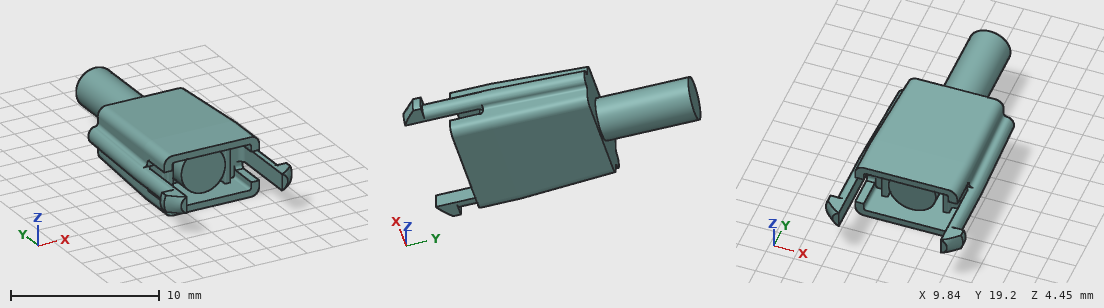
import cadquery as cq
import math

total_length = 19.18
housing_length = 9.55
straight_length = 2.84
cavity_depth = 2.32
well_depth = 3.45
latch_reach = 3.13
taper_angle = 2.0

housing_half_width = 3.66
housing_height = 4.45
housing_corner_radius = 0.65
taper_inset = (housing_length - straight_length) * math.tan(math.radians(taper_angle))
cavity_width = 6.08
cavity_height = 3.41
cavity_corner_radius = 0.2
slot_half_height = 1.13

arm_half_height = 0.61
arm_thickness = 0.75
arm_crown_radius = 0.7
arm_edge_radius = 0.35
blend_radius = 0.27
root_radius = 0.4
embed = 0.2

head_half_span = 4.92
head_back = 1.7
cone_start = 2.25
head_tip_radius = 0.61
head_axis_x = 3.5
head_radius = head_half_span - head_axis_x

cable_radius = 1.486
plug_radius = 1.69
plug_front = 1.17
plug_foot_radius = 0.12
rib_inner_x = 1.98
rib_outer_x = 2.44
rib_front = 1.7
rib_edge_radius = 0.12
rib_foot_radius = 0.12


def section_plane(y):
    """Workplane across the part at y; its normal points towards -Y."""
    return cq.Workplane("XZ", origin=(0, y, 0))


def both_sides(solid):
    """The solid together with its mirror image across the YZ plane."""
    return solid.union(solid.mirror("YZ"))


def housing_section(inset):
    width = 2 * (housing_half_width - inset)
    height = housing_height - 2 * inset
    return cq.Sketch().rect(width, height).vertices().fillet(housing_corner_radius)


def lofted(front_section, rear_section):
    """Straight-sided solid between the end of the straight stretch and the rear face."""
    front = front_section.moved(cq.Location(cq.Vector(0, 0, -straight_length)))
    rear = rear_section.moved(cq.Location(cq.Vector(0, 0, -housing_length)))
    return cq.Workplane("XZ").placeSketch(front, rear).loft(ruled=True)


def arm_section(side_x):
    """Arm with a crowned, edge-rounded outer side, standing on the plane x = side_x."""
    top_x = side_x + arm_thickness
    crown_centre_x = top_x - arm_crown_radius
    corner_x = crown_centre_x + math.sqrt(arm_crown_radius**2 - arm_half_height**2)
    return (
        cq.Sketch()
        .segment((side_x, -arm_half_height), (corner_x, -arm_half_height))
        .arc((corner_x, -arm_half_height), (top_x, 0), (corner_x, arm_half_height))
        .segment((side_x, arm_half_height))
        .close()
        .assemble()
        .vertices(">X")
        .fillet(arm_edge_radius)
    )


def blend_section(side_x):
    """Root of the arm: a band on the housing side that narrows to the arm along two concave arcs."""
    root_half_height = arm_half_height + blend_radius
    inner_x = side_x - embed
    outer_x = side_x + blend_radius
    middle_x = outer_x - blend_radius * math.sqrt(0.5)
    middle_z = root_half_height - blend_radius * math.sqrt(0.5)
    return (
        cq.Sketch()
        .segment((inner_x, -root_half_height), (side_x, -root_half_height))
        .arc((side_x, -root_half_height), (middle_x, -middle_z), (outer_x, -arm_half_height))
        .segment((outer_x, arm_half_height))
        .arc((outer_x, arm_half_height), (middle_x, middle_z), (side_x, root_half_height))
        .segment((inner_x, root_half_height))
        .close()
        .assemble()
    )


def along_housing(front_section, rear_section):
    """Solid over the whole housing length: constant section in front, tapered behind."""
    straight = section_plane(straight_length).placeSketch(front_section).extrude(straight_length)
    return straight.union(lofted(front_section, rear_section))


def side_rail(section):
    """Rail on the housing side whose section, given for a side plane, follows the taper."""
    return along_housing(section(housing_half_width), section(housing_half_width - taper_inset))


def cavity():
    """Rounded opening with a deeper well between the ribs."""
    section = cq.Sketch().rect(cavity_width, cavity_height).vertices().fillet(cavity_corner_radius)
    opening = section_plane(cavity_depth).placeSketch(section).extrude(cavity_depth)
    well = section_plane(well_depth).rect(2 * rib_inner_x, cavity_height).extrude(well_depth)
    return opening.union(well)


def side_slot():
    """Opening through both side walls; its inner end narrows along two concave arcs."""
    end_half_height = arm_half_height + blend_radius
    rise = slot_half_height - end_half_height
    arc_centre_y = cavity_depth - blend_radius
    arc_start_y = arc_centre_y + math.sqrt(blend_radius**2 - rise**2)
    middle_angle = math.asin(rise / blend_radius) / 2
    middle_y = arc_centre_y + blend_radius * math.cos(middle_angle)
    middle_z = end_half_height + blend_radius * math.sin(middle_angle)
    half_width = housing_half_width + arm_thickness
    return (
        cq.Workplane("YZ", origin=(-half_width, 0, 0))
        .moveTo(0, -slot_half_height)
        .lineTo(arc_start_y, -slot_half_height)
        .threePointArc((middle_y, -middle_z), (cavity_depth, -end_half_height))
        .lineTo(cavity_depth, end_half_height)
        .threePointArc((middle_y, middle_z), (arc_start_y, slot_half_height))
        .lineTo(0, slot_half_height)
        .close()
        .extrude(2 * half_width)
    )


def free_arm():
    """Arm from the latch head to the straight stretch of the housing."""
    length = straight_length + head_back
    return section_plane(straight_length).placeSketch(arm_section(housing_half_width)).extrude(length)


def arm_root_fillet():
    """Concave fillet between the inside of the arm and the cavity floor."""
    start_y = cavity_depth - root_radius
    return (
        cq.Workplane("XY", origin=(0, 0, -arm_half_height))
        .moveTo(housing_half_width - root_radius, cavity_depth + embed)
        .lineTo(housing_half_width - root_radius, cavity_depth)
        .radiusArc((housing_half_width, start_y), root_radius)
        .lineTo(housing_half_width + embed, start_y)
        .lineTo(housing_half_width + embed, cavity_depth + embed)
        .close()
        .extrude(2 * arm_half_height)
    )


def latch_head():
    """Turned cylinder and cone, cut flat at the arm height and at the inner side of the arm."""
    turned = (
        cq.Workplane("XY")
        .moveTo(head_axis_x, -head_back)
        .lineTo(head_axis_x + head_radius, -head_back)
        .lineTo(head_axis_x + head_radius, -cone_start)
        .lineTo(head_axis_x + head_tip_radius, -latch_reach)
        .lineTo(head_axis_x, -latch_reach)
        .close()
        .revolve(360, (head_axis_x, 0, 0), (head_axis_x, 1, 0))
    )
    envelope = cq.Workplane("XY").box(
        head_half_span - housing_half_width, latch_reach, 2 * arm_half_height, centered=(False, False, True)
    )
    return turned.intersect(envelope.translate((housing_half_width, -latch_reach, 0)))


def cable():
    cable_end = total_length - latch_reach
    return section_plane(cable_end).circle(cable_radius).extrude(cable_end - housing_length + embed)


def plug():
    """Round plug on the well floor with a concave foot, trimmed to the cavity height."""
    turned = (
        cq.Workplane("XY")
        .moveTo(0, plug_front)
        .lineTo(plug_radius, plug_front)
        .lineTo(plug_radius, well_depth - plug_foot_radius)
        .radiusArc((plug_radius + plug_foot_radius, well_depth), plug_foot_radius)
        .lineTo(plug_radius + plug_foot_radius, well_depth + embed)
        .lineTo(0, well_depth + embed)
        .close()
        .revolve(360, (0, 0, 0), (0, 1, 0))
    )
    envelope = cq.Workplane("XY").box(cavity_width, total_length, cavity_height)
    return turned.intersect(envelope)


def rib():
    """Upright rib with rounded front edges and concave feet on the well and cavity floors."""
    back_y = well_depth + embed
    return (
        cq.Workplane("XY", origin=(0, 0, -cavity_height / 2 - embed))
        .moveTo(rib_inner_x - rib_foot_radius, back_y)
        .lineTo(rib_inner_x - rib_foot_radius, well_depth)
        .radiusArc((rib_inner_x, well_depth - rib_foot_radius), rib_foot_radius)
        .lineTo(rib_inner_x, rib_front + rib_edge_radius)
        .radiusArc((rib_inner_x + rib_edge_radius, rib_front), -rib_edge_radius)
        .lineTo(rib_outer_x - rib_edge_radius, rib_front)
        .radiusArc((rib_outer_x, rib_front + rib_edge_radius), -rib_edge_radius)
        .lineTo(rib_outer_x, cavity_depth - rib_foot_radius)
        .radiusArc((rib_outer_x + rib_foot_radius, cavity_depth), rib_foot_radius)
        .lineTo(rib_outer_x + rib_foot_radius, back_y)
        .close()
        .extrude(cavity_height + 2 * embed)
    )


result = along_housing(housing_section(0), housing_section(taper_inset))
result = result.union(both_sides(side_rail(blend_section))).union(both_sides(side_rail(arm_section)))
result = result.cut(cavity()).cut(side_slot())
result = result.union(both_sides(free_arm().union(latch_head()).union(arm_root_fillet())))
result = result.union(cable()).union(plug()).union(both_sides(rib()))